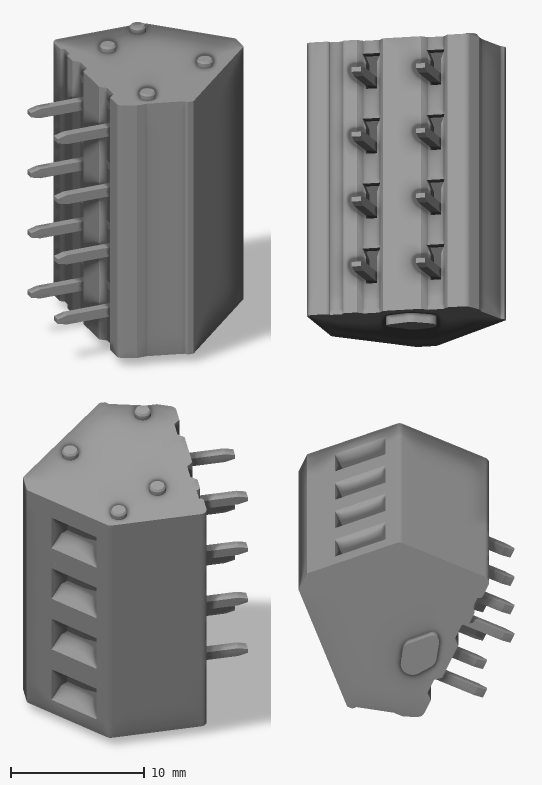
import cadquery as cq
import math

module_count = 4
plate_thick = 1.0
peg_height = 0.5
foot_height = 0.7
overall_height = 22.2
stack_height = overall_height - plate_thick - peg_height - foot_height
pitch = stack_height / module_count

width = 14.1
depth = 12.8
crown_left = 5.26
crown_right = 6.8
shoulder_y = depth - crown_left
nose_top = depth - (width - crown_right)
nose_bottom = 5.06
lip_x, lip_y = 13.85, 4.86
step_x = 13.12
step_top = 2.1
step_bottom = 1.3
toe_x = 12.55
edge_radius = 0.5

groove_left = 1.82
groove_right = 2.78
groove_depth = 0.3

row_pitch = 5.0
pin_rows = [row_pitch, 2 * row_pitch]
pin_width = 0.7
pin_thick = 0.75
pin_length = 4.0
pin_z = 2.82
tip_length = 0.75
tip_thick = 0.35

channel_mouth = 2.05
channel_floor = 1.22
channel_depth = 0.47
slot_width = 0.85
slot_flare_width = 1.4
slot_flare_height = 0.69
slot_bottom = 2.29
slot_depth = 1.0
slot_floor_y = channel_depth + slot_depth

entry_top_y = 11.23
entry_length = 4.06
entry_height = 3.02
throat_height = 1.2
funnel_depth = 0.93
throat_depth = 1.5
top_wall_tilt = 15.0
floor_bend = 2.0
floor_tilt = 12.0
entry_z = pin_z

peg_points = [(1.13, 6.6), (3.3, 3.2), (8.61, 8.84), (12.1, 2.6)]
peg_diameter = 1.25
peg_chamfer_height = 0.15
peg_chamfer_width = 0.1

foot_left = (5.26, 1.78)
foot_front = (7.85, 1.05)
foot_right = (10.57, 2.95)
foot_back = (7.41, 3.88)
foot_left_radius = 0.5
foot_radius = 0.89


def body_slab(height):
    """Slab with the common cross-section, from Z = 0 up."""
    outline = cq.Workplane("XY").moveTo(0, 0).lineTo(groove_left - groove_depth, 0)
    outline = outline.radiusArc((groove_left, groove_depth), -groove_depth)
    outline = outline.lineTo(groove_right, groove_depth)
    outline = outline.radiusArc((groove_right + groove_depth, 0), -groove_depth)
    for x in pin_rows:
        outline = outline.lineTo(x - channel_mouth / 2, 0).lineTo(x - channel_floor / 2, channel_depth)
        outline = outline.lineTo(x + channel_floor / 2, channel_depth).lineTo(x + channel_mouth / 2, 0)
    outline = outline.lineTo(toe_x, 0).lineTo(step_x, step_bottom).lineTo(step_x, step_top)
    outline = outline.lineTo(lip_x, lip_y).lineTo(width, nose_bottom).lineTo(width, nose_top)
    outline = outline.lineTo(crown_right, depth).lineTo(crown_left, depth).lineTo(0, shoulder_y)
    slab = outline.close().extrude(height)
    for x, y in [(0, 0), (0, shoulder_y), (toe_x, 0)]:
        corner = cq.selectors.NearestToPointSelector((x, y, height / 2))
        slab = slab.edges(corner).fillet(edge_radius)
    return slab


def wire_entry():
    """Cutter for one wire entry: a funnel closing in Z onto a throat with a bent floor."""
    top_edge = cq.Vector(entry_top_y - shoulder_y, entry_top_y, entry_z)
    down_face = cq.Vector(-1, -1, 0).normalized()
    inward = cq.Vector(1, -1, 0).normalized()
    top_wall_run = throat_depth * math.tan(math.radians(top_wall_tilt))
    deepest = throat_depth + (entry_length - floor_bend) * math.tan(math.radians(floor_tilt))

    height_plane = cq.Plane(origin=top_edge, xDir=inward, normal=down_face)
    height_profile = (
        cq.Workplane(height_plane)
        .moveTo(0, -entry_height / 2)
        .lineTo(funnel_depth, -throat_height / 2)
        .lineTo(deepest, -throat_height / 2)
        .lineTo(deepest, throat_height / 2)
        .lineTo(funnel_depth, throat_height / 2)
        .lineTo(0, entry_height / 2)
        .close()
        .extrude(entry_length)
    )

    plan_plane = cq.Plane(origin=top_edge, xDir=down_face, normal=down_face.cross(inward))
    plan_profile = (
        cq.Workplane(plan_plane)
        .lineTo(entry_length, 0)
        .lineTo(entry_length, deepest)
        .lineTo(floor_bend, throat_depth)
        .lineTo(top_wall_run, throat_depth)
        .close()
        .extrude(entry_height / 2, both=True)
    )
    return height_profile.intersect(plan_profile)


def pin_slot(x):
    """Cutter for the slot around one pin, flared towards the top of the module."""
    half = slot_width / 2
    half_flare = slot_flare_width / 2
    flare_z = pitch - slot_flare_height
    return (
        cq.Workplane("XZ", origin=(x, 0, 0))
        .polyline([
            (-half, slot_bottom),
            (half, slot_bottom),
            (half, flare_z),
            (half_flare, pitch),
            (-half_flare, pitch),
            (-half, flare_z),
        ])
        .close()
        .extrude(-slot_floor_y)
    )


def pin(x):
    """Solder pin standing on the slot floor, its tip tapered in Z."""
    half = pin_thick / 2
    half_tip = tip_thick / 2
    taper_y = tip_length - pin_length
    return (
        cq.Workplane("YZ", origin=(x, 0, pin_z))
        .polyline([
            (slot_floor_y, -half),
            (taper_y, -half),
            (-pin_length, -half_tip),
            (-pin_length, half_tip),
            (taper_y, half),
            (slot_floor_y, half),
        ])
        .close()
        .extrude(pin_width / 2, both=True)
    )


def foot():
    """Keyed foot hanging below Z = 0."""
    corners = [foot_left, foot_front, foot_right, foot_back]
    block = cq.Workplane("XY").polyline(corners).close().extrude(-foot_height)
    for x, y in corners:
        radius = foot_left_radius if (x, y) == foot_left else foot_radius
        corner = cq.selectors.NearestToPointSelector((x, y, -foot_height / 2))
        block = block.edges(corner).fillet(radius)
    return block


def terminal_module():
    """One pole: housing slab with its wire entry, pin slots and pins."""
    body = body_slab(pitch).cut(wire_entry())
    for x in pin_rows:
        body = body.cut(pin_slot(x)).union(pin(x))
    return body


def end_plate():
    """Cover plate with four chamfered locating pegs on top."""
    plate = body_slab(plate_thick)
    pegs = (
        cq.Workplane("XY", origin=(0, 0, plate_thick))
        .pushPoints(peg_points)
        .circle(peg_diameter / 2)
        .extrude(peg_height)
        .faces(">Z")
        .chamfer(peg_chamfer_height, peg_chamfer_width)
    )
    return plate.union(pegs)


modules = []
for index in range(module_count):
    module = terminal_module()
    if index == 0:
        module = module.union(foot())
    modules.append(module.translate((0, 0, index * pitch)).val())

cover = end_plate().translate((0, 0, stack_height))

result = cq.Compound.makeCompound([*modules, cover.val()])